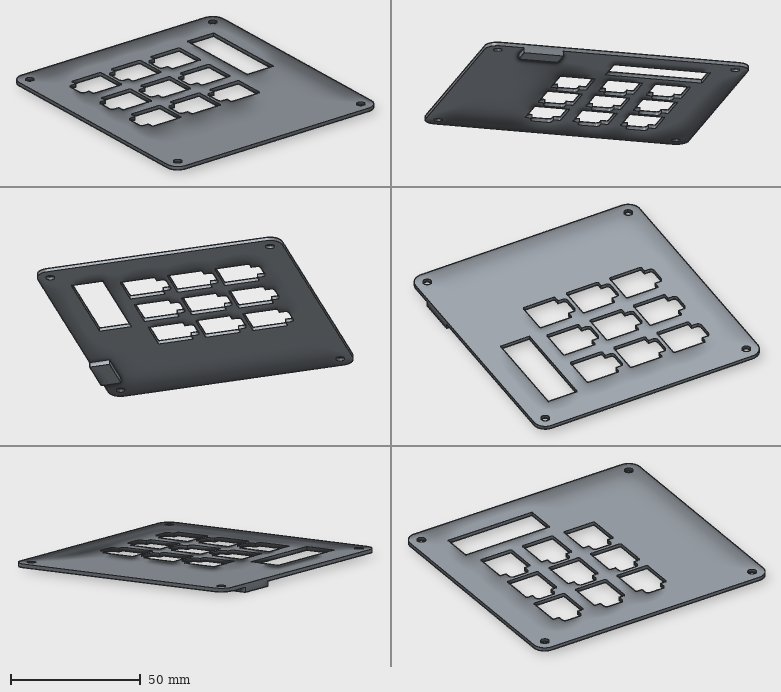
import cadquery as cq

plate_length = 105.0
plate_width = 98.5
plate_thickness = 1.5
corner_radius = 5.0
screw_hole_diameter = 3.4

window_length = 38.4
window_height = 12.7
window_center_x = -19.8
window_center_y = 31.9

grid_count = 3
key_pitch = 19.0
key_size = 14.0
key_corner_radius = 0.5
tab_width = 8.5
tab_depth = 3.5
tab_corner_radius = 1.5
grid_center_x = -10.2
grid_center_y = -6.5

total_height = 3.5
block_length = 15.6
block_width = 8.0
block_center_x = 30.5


def make_plate():
    plate = (
        cq.Workplane("XY")
        .box(plate_length, plate_width, plate_thickness, centered=(True, True, False))
        .edges("|Z")
        .fillet(corner_radius)
    )
    hole_spacing_x = plate_length - 2 * corner_radius
    hole_spacing_y = plate_width - 2 * corner_radius
    return (
        plate.faces(">Z")
        .workplane()
        .rect(hole_spacing_x, hole_spacing_y, forConstruction=True)
        .vertices()
        .hole(screw_hole_diameter)
    )


def make_window():
    return (
        cq.Workplane("XY")
        .center(window_center_x, window_center_y)
        .rect(window_length, window_height)
        .extrude(plate_thickness)
    )


def make_key_opening():
    square = (
        cq.Workplane("XY")
        .rect(key_size, key_size)
        .extrude(plate_thickness)
        .edges("|Z")
        .fillet(key_corner_radius)
    )
    tab_length = key_size / 2 + tab_depth
    tab = (
        cq.Workplane("XY")
        .center(0, -tab_length / 2)
        .rect(tab_width, tab_length)
        .extrude(plate_thickness)
        .edges("|Z and <Y")
        .fillet(tab_corner_radius)
    )
    return square.union(tab)


def make_block():
    block_height = total_height - plate_thickness
    block_center_y = (plate_width - block_width) / 2
    return (
        cq.Workplane("XY")
        .center(block_center_x, block_center_y)
        .rect(block_length, block_width)
        .extrude(-block_height)
    )


result = make_plate().cut(make_window())

key_opening = make_key_opening()
for column in range(grid_count):
    for row in range(grid_count):
        key_x = grid_center_x + (column - (grid_count - 1) / 2) * key_pitch
        key_y = grid_center_y + (row - (grid_count - 1) / 2) * key_pitch
        result = result.cut(key_opening.translate((key_x, key_y, 0)))

result = result.union(make_block())